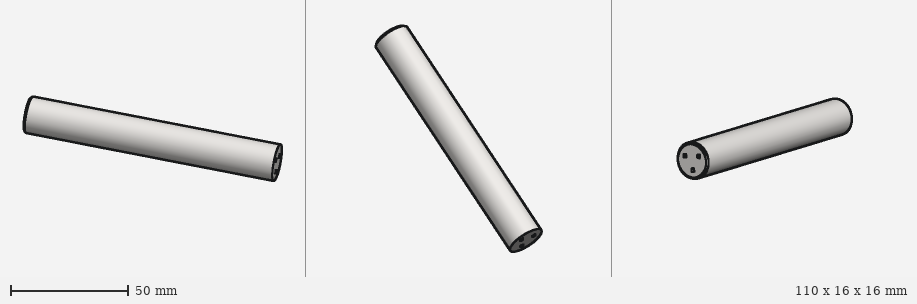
import cadquery as cq
import math

length = 110.0
diameter = 16.0
chamfer_size = 0.8

channel_count = 3
channel_diameter = 1.5
channel_circle_radius = 4.1
first_channel_angle = 145.0
helix_angle = 30.0
helix_pitch = math.pi * diameter / math.tan(math.radians(helix_angle))
total_twist = 360.0 * length / helix_pitch


def make_rod():
    """Solid rod centred on the origin, chamfered at its -X end."""
    rod = cq.Workplane("YZ", origin=(-length / 2, 0, 0)).circle(diameter / 2).extrude(length)
    return rod.faces("<X").chamfer(chamfer_size)


def make_channel(angle):
    """Right-handed channel that winds around the rod axis, starting at the given angle."""
    y = channel_circle_radius * math.cos(math.radians(angle))
    z = channel_circle_radius * math.sin(math.radians(angle))
    start_face = cq.Workplane("YZ", origin=(-length / 2, 0, 0))
    return start_face.moveTo(y, z).circle(channel_diameter / 2).twistExtrude(length, total_twist)


result = make_rod()
for index in range(channel_count):
    result = result.cut(make_channel(first_channel_angle + index * 360.0 / channel_count))